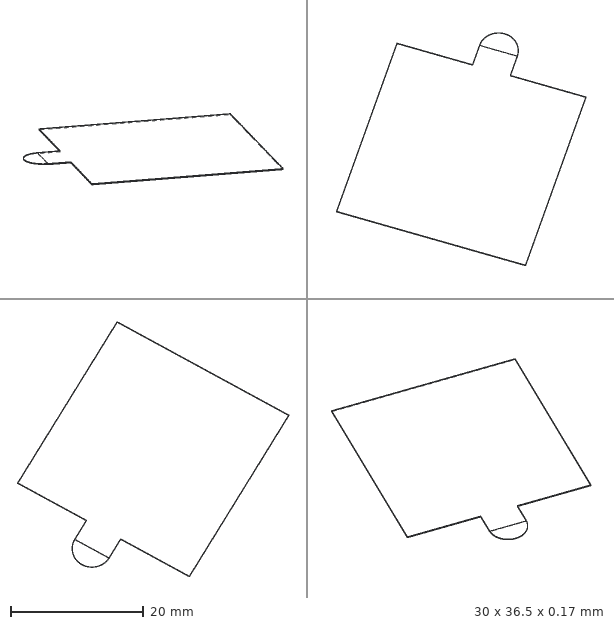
import cadquery as cq

side = 30.0
thickness = 0.17

tab_width = 6.0
tab_reach = 6.5

tip_relief = 0.065

tab_radius = tab_width / 2
edge_y = -side / 2
tip_end_y = edge_y - tab_reach
tip_center_y = tip_end_y + tab_radius


def make_sheet():
    """Square sheet with the straight part of the tab, resting on Z = 0."""
    sheet = cq.Workplane("XY").box(side, side, thickness, centered=(True, True, False))
    straight_length = edge_y - tip_center_y
    straight = (
        cq.Workplane("XY")
        .box(tab_width, straight_length, thickness, centered=(True, False, False))
        .translate((0, tip_center_y, 0))
    )
    return sheet.union(straight)


def make_tip():
    """Thin semicircular tip of the tab, flush with the top face."""
    return (
        cq.Workplane("XY")
        .workplane(offset=tip_relief)
        .moveTo(-tab_radius, tip_center_y)
        .threePointArc((0, tip_end_y), (tab_radius, tip_center_y))
        .close()
        .extrude(thickness - tip_relief)
    )


result = make_sheet().union(make_tip()).clean()